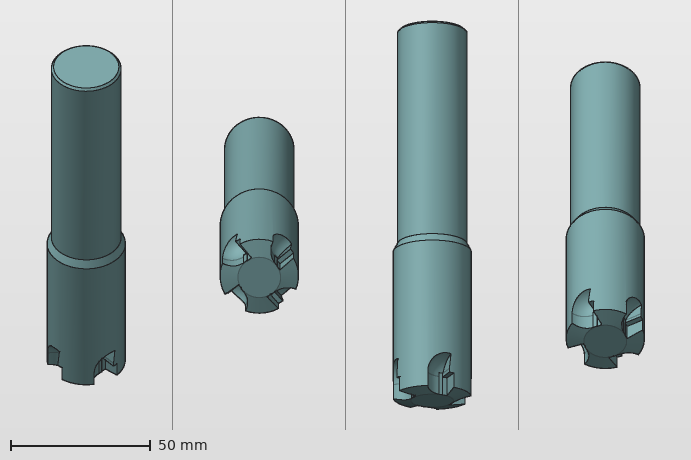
import cadquery as cq

length = 138.9
shank_radius = 12.5
head_radius = 14.0
head_top = 55.8
shoulder_height = 2.9
shank_chamfer = 0.8
end_flat_radius = 7.6
end_cone_height = 1.3

pocket_count = 4
scoop_radius = 7.2
scoop_x = -0.1
scoop_y = -15.0
scoop_z = 6.7
wall_bottom_x = 0.8
wall_top_x = 1.5
overcut = 2.8

slot_left_x = -0.7
slot_floor_y = -7.8
slot_top = 8.0
seat_right_x = 2.6
seat_floor_y = -7.5
seat_top = 6.7


def tool_body():
    """Turned shank, shoulder and head with a shallow conical end."""
    profile = [
        (0, 0),
        (end_flat_radius, 0),
        (head_radius, end_cone_height),
        (head_radius, head_top),
        (shank_radius, head_top + shoulder_height),
        (shank_radius, length - shank_chamfer),
        (shank_radius - shank_chamfer, length),
        (0, length),
    ]
    return cq.Workplane("XZ").polyline(profile).close().revolve(360, (0, 0), (0, 1))


def box_cutter(left, right, floor_y, top):
    """Box open toward -Y and -Z, reaching in to floor_y."""
    outer_y = -head_radius - overcut
    return cq.Workplane("XY").box(
        right - left, floor_y - outer_y, top + overcut, centered=False
    ).translate((left, outer_y, -overcut))


def scoop_cutter():
    """Ball-ended vertical cut, trimmed by the leaning pocket wall and the slot."""
    ball = cq.Workplane("XY").sphere(scoop_radius).translate((scoop_x, scoop_y, scoop_z))
    column = (
        cq.Workplane("XY", origin=(scoop_x, scoop_y, -overcut))
        .circle(scoop_radius)
        .extrude(scoop_z + overcut)
    )
    left = scoop_x - scoop_radius - overcut
    top = scoop_z + scoop_radius
    trim_outline = [
        (left, -overcut),
        (slot_left_x, -overcut),
        (slot_left_x, slot_top),
        (wall_bottom_x, slot_top),
        (wall_top_x, top),
        (left, top),
    ]
    trim_depth = scoop_radius - scoop_y + overcut
    trim = cq.Workplane("XZ").polyline(trim_outline).close().extrude(trim_depth)
    return ball.union(column).intersect(trim)


def pocket_cutter():
    slot = box_cutter(slot_left_x, wall_bottom_x, slot_floor_y, slot_top)
    seat = box_cutter(wall_bottom_x, seat_right_x, seat_floor_y, seat_top)
    return scoop_cutter().union(slot).union(seat)


result = tool_body()
pocket = pocket_cutter()
for index in range(pocket_count):
    angle = index * 360 / pocket_count
    result = result.cut(pocket.rotate((0, 0, 0), (0, 0, 1), angle))